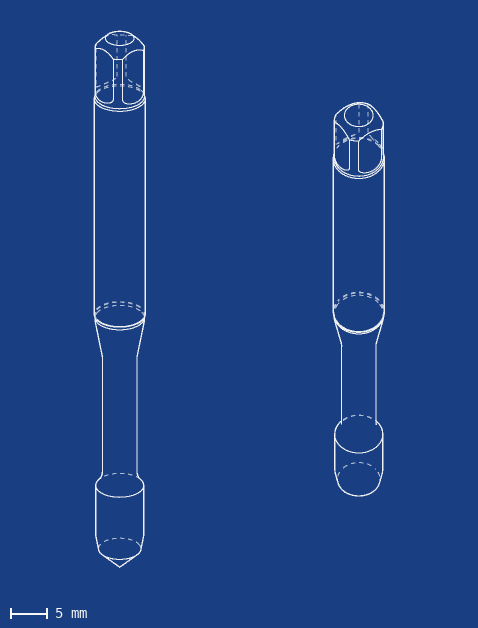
import cadquery as cq
import math

TOTAL_LENGTH = 82.9
POINT_TOP = 2.9
LEAD_TOP = 5.05
HEAD_TOP = 12.85
NECK_BOTTOM = 15.1
NECK_TOP = 33.0
TAPER_TOP = 38.6
BODY_JOINT = 39.1
SHANK_BOTTOM = 39.6
SHANK_TOP = 73.5
DRIVE_BOTTOM = 73.8

HEAD_DIAMETER = 6.55
POINT_DIAMETER = 2 * POINT_TOP
NECK_DIAMETER = 4.7
COLLAR_DIAMETER = 6.7
SHANK_DIAMETER = 7.0
DRIVE_DIAMETER = 6.7
DRIVE_TIP_DIAMETER = 3.9

ACROSS_FLATS = 5.55
RUNOUT_BOTTOM = 74.3
RUNOUT_TOP = 75.2


def concave_arc(height, width):
    """Axial and radial offsets to the middle of an arc that starts parallel to Z."""
    radius = (height**2 + width**2) / (2 * width)
    half_angle = math.asin(height / radius) / 2
    middle_drop = radius * math.sin(half_angle)
    middle_outset = radius * (1 - math.cos(half_angle))
    return middle_drop, middle_outset


def revolve_about_z(profile):
    """Full revolve of a closed XZ profile about the Z axis."""
    return profile.revolve(360, (0, 0, 0), (0, 1, 0))


def make_cutting_part():
    """Pointed head with a tapered lead, flared neck, taper and collar."""
    neck_radius = NECK_DIAMETER / 2
    head_radius = HEAD_DIAMETER / 2
    collar_radius = COLLAR_DIAMETER / 2

    flare_drop, flare_outset = concave_arc(NECK_BOTTOM - HEAD_TOP, head_radius - neck_radius)
    flare_middle = (neck_radius + flare_outset, NECK_BOTTOM - flare_drop)

    profile = (
        cq.Workplane("XZ")
        .lineTo(POINT_DIAMETER / 2, POINT_TOP)
        .lineTo(head_radius, LEAD_TOP)
        .lineTo(head_radius, HEAD_TOP)
        .threePointArc(flare_middle, (neck_radius, NECK_BOTTOM))
        .lineTo(neck_radius, NECK_TOP)
        .lineTo(collar_radius, TAPER_TOP)
        .lineTo(collar_radius, BODY_JOINT)
        .lineTo(0, BODY_JOINT)
        .close()
    )
    return revolve_about_z(profile)


def make_turned_shank():
    """Short collar, shank and round drive blank with a chamfered end."""
    collar_radius = COLLAR_DIAMETER / 2
    shank_radius = SHANK_DIAMETER / 2
    drive_radius = DRIVE_DIAMETER / 2
    tip_radius = DRIVE_TIP_DIAMETER / 2
    tip_chamfer = drive_radius - tip_radius

    profile = (
        cq.Workplane("XZ")
        .moveTo(0, BODY_JOINT)
        .lineTo(collar_radius, BODY_JOINT)
        .lineTo(collar_radius, SHANK_BOTTOM)
        .lineTo(shank_radius, SHANK_BOTTOM)
        .lineTo(shank_radius, SHANK_TOP)
        .lineTo(drive_radius, DRIVE_BOTTOM)
        .lineTo(drive_radius, TOTAL_LENGTH - tip_chamfer)
        .lineTo(tip_radius, TOTAL_LENGTH)
        .lineTo(0, TOTAL_LENGTH)
        .close()
    )
    return revolve_about_z(profile)


def make_flat_cutter():
    """Cutter for the +X flat, with a concave runout at its lower end."""
    flat_x = ACROSS_FLATS / 2
    outer_x = DRIVE_DIAMETER / 2
    runout_drop, runout_outset = concave_arc(RUNOUT_TOP - RUNOUT_BOTTOM, outer_x - flat_x)
    runout_middle = (flat_x + runout_outset, RUNOUT_TOP - runout_drop)

    profile = (
        cq.Workplane("XZ")
        .moveTo(flat_x, TOTAL_LENGTH)
        .lineTo(flat_x, RUNOUT_TOP)
        .threePointArc(runout_middle, (outer_x, RUNOUT_BOTTOM))
        .lineTo(outer_x, TOTAL_LENGTH)
        .close()
    )
    return profile.extrude(DRIVE_DIAMETER / 2, both=True)


def make_shank():
    """Turned shank with four drive flats."""
    shank = make_turned_shank()
    cutter = make_flat_cutter()
    for angle in (0, 90, 180, 270):
        shank = shank.cut(cutter.rotate((0, 0, 0), (0, 0, 1), angle))
    return shank


cutting_part = make_cutting_part()
shank = make_shank()
result = cq.Compound.makeCompound([cutting_part.val(), shank.val()])